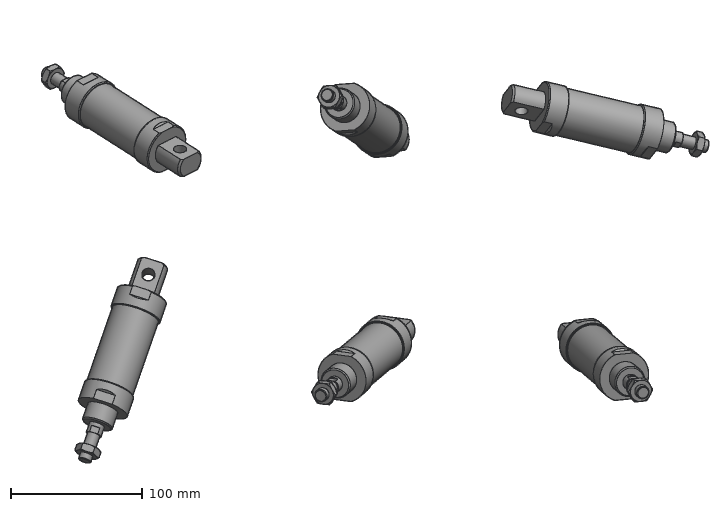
import cadquery as cq
import math


overall_length = 166.0
nut_start = 5.1
nut_thickness = 6.0
thread_end = 22.0
wrench_flat_end = 27.0
boss_start = 30.2
front_cap_start = 44.2
front_cap_end = 60.3
rear_cap_start = 122.7
rear_cap_end = 139.1
pin_hole_position = 153.9

thread_diameter = 10.0
rod_diameter = 12.0
boss_diameter = 24.0
tang_diameter = 24.0
tube_diameter = 37.0
cap_diameter = 39.5
pin_hole_diameter = 10.0

nut_across_flats = 17.0
rod_across_flats = 10.0
cap_across_flats = 36.5
tang_thickness = 16.0

cap_flat_length = 7.5
cap_flat_angle = 45.0

rod_tip_chamfer = 0.7
boss_chamfer = 1.0
cap_chamfer = 0.8
cap_seam_chamfer = 0.5
tang_chamfer = 1.5
nut_chamfer_angle = 30.0


def cylinder(start, end, diameter):
    """Round bar on the X axis between two stations."""
    return cq.Workplane("YZ", origin=(start, 0, 0)).circle(diameter / 2).extrude(end - start)


def flat_cutter(start, end, across_flats, outer_diameter):
    """Two blocks, above and below the axis, that leave a pair of flats."""
    length = end - start
    height = outer_diameter / 2
    block = cq.Workplane("XY").box(length, outer_diameter, height, centered=(False, True, False))
    upper = block.translate((start, 0, across_flats / 2))
    return upper.union(upper.mirror("XY"))


def cap_flat_cutter(face, inward):
    """Cutter for a cap's flats; they run from its end face, inward (+1 or -1), to a sloped end."""
    flat_height = cap_across_flats / 2
    rise = cap_diameter / 2
    floor_end = face + inward * cap_flat_length
    slope_end = floor_end + inward * rise / math.tan(math.radians(cap_flat_angle))
    upper = (
        cq.Workplane("XZ")
        .moveTo(face, flat_height)
        .lineTo(floor_end, flat_height)
        .lineTo(slope_end, flat_height + rise)
        .lineTo(face, flat_height + rise)
        .close()
        .extrude(cap_diameter / 2, both=True)
    )
    return upper.union(upper.mirror("XY"))


def make_front_cap():
    """Front cap with a pair of flats and the boss that guides the rod."""
    cap = cylinder(front_cap_start, front_cap_end, cap_diameter)
    cap = cap.faces(">X").edges().chamfer(cap_chamfer)
    cap = cap.cut(cap_flat_cutter(front_cap_start, 1))
    boss = cylinder(boss_start, front_cap_start, boss_diameter)
    boss = boss.faces("<X").edges().chamfer(boss_chamfer)
    return cap.union(boss)


def make_tang():
    """Round tang with two flats and a cross hole for the mounting pin."""
    tang = cylinder(rear_cap_end, overall_length, tang_diameter)
    tang = tang.faces(">X").edges().chamfer(tang_chamfer)
    tang = tang.cut(flat_cutter(rear_cap_end, overall_length, tang_thickness, tang_diameter))
    pin_hole = (
        cq.Workplane("XY")
        .center(pin_hole_position, 0)
        .circle(pin_hole_diameter / 2)
        .extrude(tang_thickness, both=True)
    )
    return tang.cut(pin_hole)


def make_rear_cap():
    """Rear cap with a pair of flats and the mounting tang."""
    cap = cylinder(rear_cap_start, rear_cap_end, cap_diameter)
    cap = cap.faces(">X").edges().chamfer(cap_chamfer)
    cap = cap.faces("<X").edges().chamfer(cap_seam_chamfer)
    cap = cap.cut(cap_flat_cutter(rear_cap_end, -1))
    return cap.union(make_tang())


def make_housing():
    """Tube and both caps in one piece, with a blind bore for the rod through the boss."""
    tube = cylinder(front_cap_end, rear_cap_start, tube_diameter)
    housing = make_front_cap().union(tube).union(make_rear_cap())
    return housing.cut(cylinder(boss_start, front_cap_start, rod_diameter))


def make_rod():
    """Stepped rod with wrench flats behind its threaded end; it fills the bore in the boss."""
    thread = cylinder(0, thread_end, thread_diameter)
    thread = thread.faces("<X").edges().chamfer(rod_tip_chamfer)
    shank = cylinder(thread_end, front_cap_start, rod_diameter)
    shank = shank.cut(flat_cutter(thread_end, wrench_flat_end, rod_across_flats, rod_diameter))
    return thread.union(shank)


def make_nut():
    """Hexagonal nut, corners along Y, with conical chamfers on both end faces."""
    across_corners = nut_across_flats / math.cos(math.radians(30))
    corner_radius = across_corners / 2
    face_radius = nut_across_flats / 2
    chamfer_length = (corner_radius - face_radius) * math.tan(math.radians(nut_chamfer_angle))
    nut_end = nut_start + nut_thickness
    hexagon = (
        cq.Workplane("YZ", origin=(nut_start, 0, 0))
        .polygon(6, across_corners)
        .extrude(nut_thickness)
    )
    chamfered_envelope = (
        cq.Workplane("XY")
        .moveTo(nut_start, 0)
        .lineTo(nut_start, face_radius)
        .lineTo(nut_start + chamfer_length, corner_radius)
        .lineTo(nut_end - chamfer_length, corner_radius)
        .lineTo(nut_end, face_radius)
        .lineTo(nut_end, 0)
        .close()
        .revolve(360, (0, 0, 0), (1, 0, 0))
    )
    nut = hexagon.intersect(chamfered_envelope)
    return nut.cut(cylinder(nut_start, nut_end, thread_diameter))


housing = make_housing()
rod = make_rod()
nut = make_nut()

result = cq.Compound.makeCompound([housing.val(), rod.val(), nut.val()])